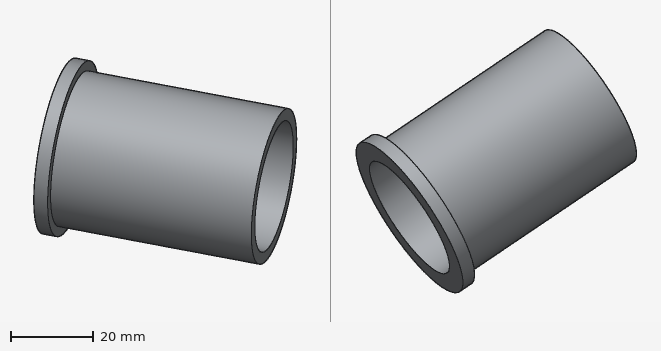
import cadquery as cq

length = 54.5
flange_diameter = 43.6
flange_thickness = 3.55
body_diameter = 38.6
bore_diameter = 32.6


def cylinder_along_x(diameter, height):
    """Solid cylinder on the X axis, starting at X = 0."""
    return cq.Workplane("YZ").circle(diameter / 2).extrude(height)


flange = cylinder_along_x(flange_diameter, flange_thickness)
body = cylinder_along_x(body_diameter, length)
bore = cylinder_along_x(bore_diameter, length)

result = flange.union(body).cut(bore)